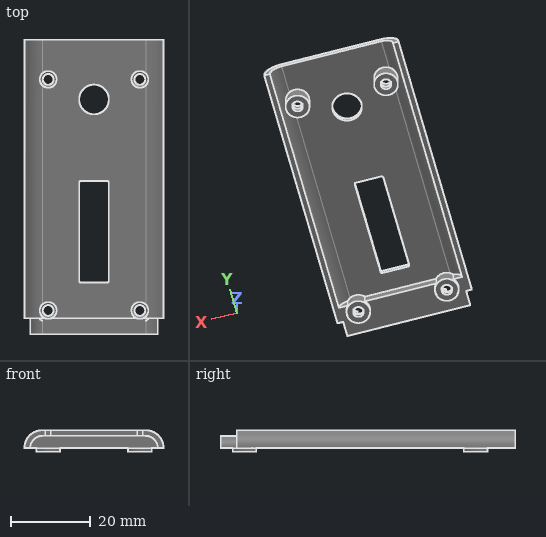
import cadquery as cq

cover_width = 35.0
total_length = 74.0
cover_height = 4.5
wall = 1.5

tongue_length = 4.0
tongue_root_length = 4.0

post_diameter = 6.0
post_projection = 0.95
screw_diameter = 2.7
head_diameter = 4.2
head_depth = 3.0
post_spacing_x = 23.0
post_spacing_y = 58.0
front_post_setback = 2.0

round_hole_diameter = 7.4
round_hole_y = 22.0
slot_width = 7.4
slot_length = 25.45
slot_center_y = -11.25
slot_corner_radius = 0.4

front_y = -total_length / 2
back_y = total_length / 2
shell_front_y = front_y + tongue_length
inner_height = cover_height - wall
front_post_y = shell_front_y + front_post_setback
post_centers = [
    (side * post_spacing_x / 2, y)
    for side in (-1, 1)
    for y in (front_post_y, front_post_y + post_spacing_y)
]


def rounded_bar(width, height, start_y, end_y):
    """Flat-bottomed bar along Y whose two upper edges are full-height quarter rounds."""
    half_width = width / 2
    flat_half_width = half_width - height
    return (
        cq.Workplane("XZ", origin=(0, start_y, 0))
        .moveTo(-half_width, 0)
        .radiusArc((-flat_half_width, height), height)
        .lineTo(flat_half_width, height)
        .radiusArc((half_width, 0), height)
        .close()
        .extrude(start_y - end_y)
    )


def hollow_shell():
    """Constant-section shell, open underneath and at both ends."""
    outer = rounded_bar(cover_width, cover_height, shell_front_y, back_y)
    cavity = rounded_bar(cover_width - 2 * wall, inner_height, shell_front_y, back_y)
    return outer.cut(cavity)


def tongue():
    return rounded_bar(
        cover_width - 2 * wall, inner_height, front_y, shell_front_y + tongue_root_length
    )


def screw_posts():
    """Posts from the underside of the top wall to just below the rim."""
    return (
        cq.Workplane("XY", origin=(0, 0, -post_projection))
        .pushPoints(post_centers)
        .circle(post_diameter / 2)
        .extrude(inner_height + post_projection)
    )


def screw_hole(x, y):
    """Head recess, 90-degree countersink and through hole, revolved about the post axis."""
    head_radius = head_diameter / 2
    screw_radius = screw_diameter / 2
    seat_z = cover_height - head_depth
    cone_bottom_z = seat_z - (head_radius - screw_radius)
    return (
        cq.Workplane("XZ")
        .moveTo(0, cover_height)
        .lineTo(head_radius, cover_height)
        .lineTo(head_radius, seat_z)
        .lineTo(screw_radius, cone_bottom_z)
        .lineTo(screw_radius, -post_projection)
        .lineTo(0, -post_projection)
        .close()
        .revolve(360, (0, 0, 0), (0, 1, 0))
        .translate((x, y, 0))
    )


def top_openings():
    round_hole = (
        cq.Workplane("XY")
        .center(0, round_hole_y)
        .circle(round_hole_diameter / 2)
        .extrude(cover_height)
    )
    slot = (
        cq.Workplane("XY")
        .center(0, slot_center_y)
        .rect(slot_width, slot_length)
        .extrude(cover_height)
        .edges("|Z")
        .fillet(slot_corner_radius)
    )
    return round_hole.union(slot)


result = hollow_shell().union(tongue()).union(screw_posts()).cut(top_openings())
for post_x, post_y in post_centers:
    result = result.cut(screw_hole(post_x, post_y))